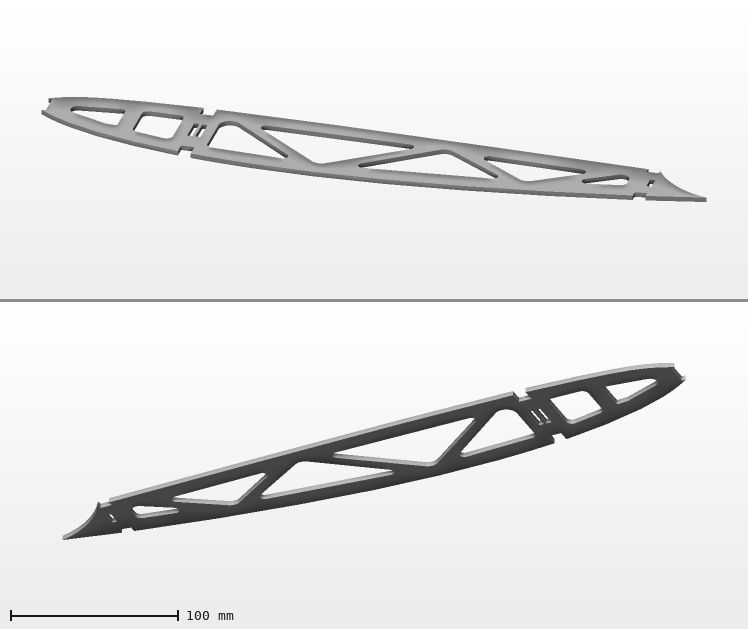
import cadquery as cq

thickness = 3.0
length = 411.85
crest_y = 31.32
keel_y = -30.72

nose_top_y = 18.6
nose_bottom_y = 3.1
nose_seat_depth = 2.5
nose_lip_taper = 0.4

front_notch_x0 = 92.3
front_notch_x1 = 100.5
front_notch_top_y = 23.1
front_notch_bottom_y = -18.9
rear_notch_x0 = 368.8
rear_notch_x1 = 376.2
rear_notch_top_y = 22.3
rear_notch_bottom_y = -4.2
rear_notch_bottom_rise = 0.9
tail_tip = (length, -0.3)

upper_skin = [
    (0, nose_top_y),
    (14, 24.1),
    (47, 28.9),
    (76, 30.7),
    (112, crest_y),
    (215, 30.1),
    (300, 27.7),
    (rear_notch_x1, 25.5),
]
hinge_edge_mid = (388.5, 11.0)
lower_skin = [
    tail_tip,
    (rear_notch_x0, -9.4),
    (290, -21.7),
    (208, -29.6),
    (154, keel_y),
    (90, -26.1),
    (47, -17.5),
    (19, -7.8),
    (0, nose_bottom_y),
]

slot_width = 3.2
front_slot_y0 = -5.4
front_slot_y1 = 10.6
rear_slot_x0 = 373.4
rear_slot_y0 = 4.5
rear_slot_y1 = 13.2

sharp_r = 3.0
medium_r = 4.0
wide_r = 7.0

windows = [
    [(1.9, 11.6, 4.5), (48.6, 16.8, 2), (48.6, -4.3, 0.8), (41.0, -3.5, 3)],
    [(58.8, 18.2, medium_r), (84.4, 18.2, sharp_r), (84.4, -13.6, medium_r), (58.8, -8.2, medium_r)],
    [(106.8, 27.0, wide_r), (163.5, -19.2, sharp_r), (106.8, -16.4, medium_r)],
    [(126.4, 19.4, sharp_r), (233.1, 18.5, sharp_r), (177.0, -20.9, wide_r)],
    [(246.5, 19.4, wide_r), (290.9, -9.8, sharp_r), (193.0, -18.9, sharp_r)],
    [(263.5, 16.9, sharp_r), (341.0, 14.6, sharp_r), (302.0, -9.7, wide_r)],
    [(322.1, -4.5, sharp_r), (361.3, 18.6, 5.0), (361.3, 2.0, medium_r)],
]


def prism(points):
    """Full-thickness block with the given straight-sided outline."""
    return cq.Workplane("XY").polyline(points).close().extrude(thickness)


def rectangle(x0, x1, y0, y1):
    return prism([(x0, y0), (x1, y0), (x1, y1), (x0, y1)])


def rounded_window(corners):
    window = prism([(x, y) for x, y, radius in corners])
    for x, y, radius in corners:
        upright_edge = cq.selectors.NearestToPointSelector((x, y, thickness / 2))
        window = window.edges("|Z").edges(upright_edge).fillet(radius)
    return window


def rib_blank():
    """Airfoil outline with a notched nose and a concave edge above the tail tip."""
    return (
        cq.Workplane("XY")
        .moveTo(*upper_skin[0])
        .spline(upper_skin[1:], includeCurrent=True)
        .threePointArc(hinge_edge_mid, tail_tip)
        .spline(lower_skin[1:], includeCurrent=True)
        .lineTo(nose_seat_depth, nose_bottom_y + nose_lip_taper)
        .lineTo(nose_seat_depth, nose_top_y - nose_lip_taper)
        .close()
        .extrude(thickness)
    )


def notches():
    front_top = rectangle(front_notch_x0, front_notch_x1, front_notch_top_y, crest_y)
    front_bottom = rectangle(front_notch_x0, front_notch_x1, keel_y, front_notch_bottom_y)
    rear_top = rectangle(rear_notch_x0, rear_notch_x1, rear_notch_top_y, crest_y)
    rear_bottom = prism([
        (rear_notch_x0, keel_y),
        (rear_notch_x1, keel_y),
        (rear_notch_x1, rear_notch_bottom_y),
        (rear_notch_x0, rear_notch_bottom_y - rear_notch_bottom_rise),
    ])
    return [front_top, front_bottom, rear_top, rear_bottom]


def web_slots():
    second_front_x0 = front_notch_x1 - slot_width
    return [
        rectangle(front_notch_x0, front_notch_x0 + slot_width, front_slot_y0, front_slot_y1),
        rectangle(second_front_x0, front_notch_x1, front_slot_y0, front_slot_y1),
        rectangle(rear_slot_x0, rear_slot_x0 + slot_width, rear_slot_y0, rear_slot_y1),
    ]


result = rib_blank()
for cutter in notches() + web_slots() + [rounded_window(w) for w in windows]:
    result = result.cut(cutter)